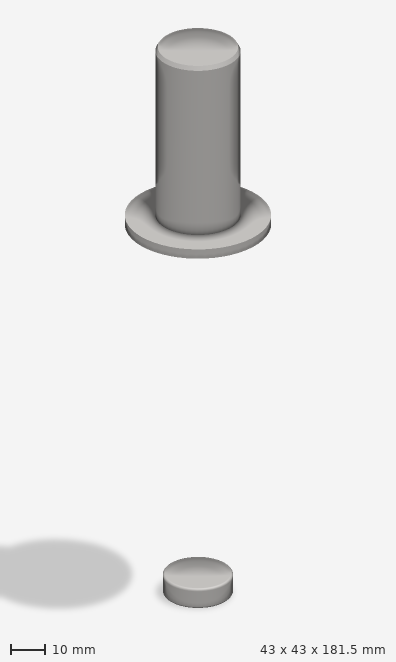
import cadquery as cq

total_height = 181.5

flange_diameter = 43.0
flange_thickness = 3.0
shaft_diameter = 25.0
shaft_length = 55.9
shaft_chamfer_width = 0.7
shaft_chamfer_height = 1.3

disc_diameter = 20.7
disc_thickness = 6.5
disc_rim_radius = 0.7


def make_pin():
    """Round shaft on a thin flange, with a steep chamfer around its top rim."""
    flange_radius = flange_diameter / 2
    shaft_radius = shaft_diameter / 2
    shaft_bottom = total_height - shaft_length
    flange_bottom = shaft_bottom - flange_thickness

    return (
        cq.Workplane("XZ")
        .moveTo(0, flange_bottom)
        .lineTo(flange_radius, flange_bottom)
        .lineTo(flange_radius, shaft_bottom)
        .lineTo(shaft_radius, shaft_bottom)
        .lineTo(shaft_radius, total_height - shaft_chamfer_height)
        .lineTo(shaft_radius - shaft_chamfer_width, total_height)
        .lineTo(0, total_height)
        .close()
        .revolve(360, (0, 0), (0, 1))
    )


def make_disc():
    """Short round disc with both rims rounded."""
    return (
        cq.Workplane("XY")
        .circle(disc_diameter / 2)
        .extrude(disc_thickness)
        .faces("<Z or >Z")
        .edges()
        .fillet(disc_rim_radius)
    )


pin = make_pin()
disc = make_disc()

result = cq.Compound.makeCompound([pin.val(), disc.val()])